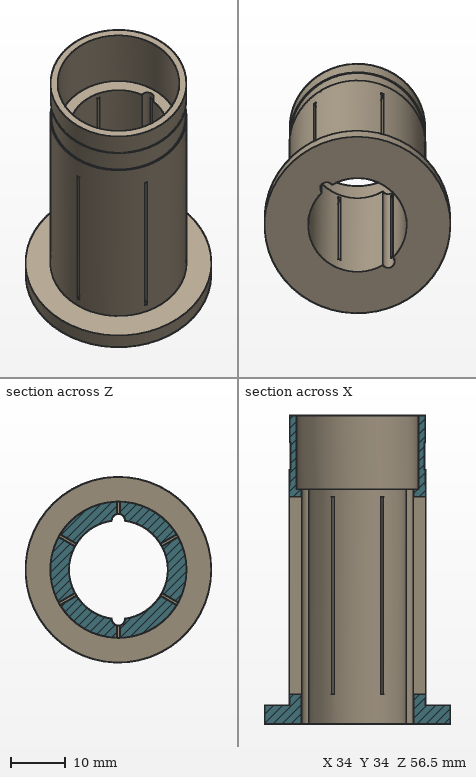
import cadquery as cq

total_height = 56.5
flange_diameter = 34.0
flange_thickness = 3.5
sleeve_diameter = 25.0

collar_diameter = 24.85
collar_height = 5.0
groove_diameter = 24.5
groove_height = collar_height

bore_diameter = 18.0
counterbore_diameter = 22.25
counterbore_depth = 13.5

keyway_radius = 1.2
keyway_center_radius = bore_diameter / 2

slot_count = 6
slot_width = 0.5
slot_bottom = 5.5
slot_height = 36.1


def cylinder(diameter, bottom, top):
    return cq.Workplane("XY").workplane(offset=bottom).circle(diameter / 2).extrude(top - bottom)


def make_body():
    collar_bottom = total_height - collar_height
    groove_bottom = collar_bottom - groove_height
    flange = cylinder(flange_diameter, 0, flange_thickness)
    sleeve = cylinder(sleeve_diameter, flange_thickness, groove_bottom)
    groove = cylinder(groove_diameter, groove_bottom, collar_bottom)
    collar = cylinder(collar_diameter, collar_bottom, total_height)
    return flange.union(sleeve).union(groove).union(collar)


def make_bore():
    bore = cylinder(bore_diameter, 0, total_height)
    counterbore = cylinder(counterbore_diameter, total_height - counterbore_depth, total_height)
    keyways = (
        cq.Workplane("XY")
        .pushPoints([(0, keyway_center_radius), (0, -keyway_center_radius)])
        .circle(keyway_radius)
        .extrude(total_height)
    )
    return bore.union(counterbore).union(keyways)


def make_slots():
    slots = cq.Workplane("XY")
    for index in range(slot_count // 2):
        blade = (
            cq.Workplane("XY")
            .box(slot_width, flange_diameter, slot_height, centered=(True, True, False))
            .translate((0, 0, slot_bottom))
            .rotate((0, 0, 0), (0, 0, 1), index * 360 / slot_count)
        )
        slots = slots.add(blade)
    return slots.combine()


result = make_body().cut(make_bore()).cut(make_slots())